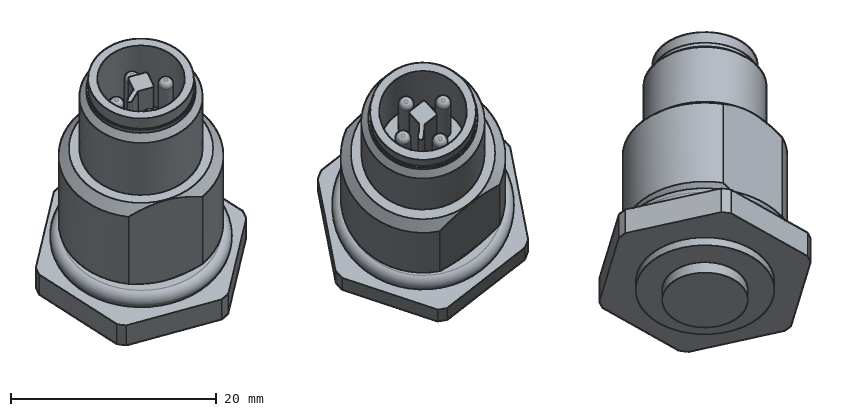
import cadquery as cq
import math

boss_top = 1.3
flange_top = 2.3
hex_top = 5.3
collar_bottom = 7.3
collar_top = 19.3
step_bottom = 27.75
lip_bottom = 28.2
total_height = 29.7

boss_radius = 4.15
flange_radius = 6.75
collar_radius = 8.02
collar_chamfer = 1.0
barrel_radius = 6.0
step_radius = 5.32
lip_radius = 5.15
barrel_chamfer = barrel_radius - step_radius

hex_across_flats = 19.0
hex_sides = 6
hex_corner_diameter = 21.4
collar_across_flats = 14.1

neck_radius = collar_radius - collar_chamfer
ring_outer_radius = 8.85

socket_radius = 4.25
socket_depth = 8.9
socket_floor = total_height - socket_depth
key_top = 29.17
key_side = 2.02
key_corner_radius = 0.2
key_arm_width = 0.5
key_arm_reach = 2.82
key_arm_angle = -45.0

pin_count = 4
pin_circle_radius = 2.55
pin_radius = 0.75
pin_tip_radius = 0.18
leading_pin_top = 28.5
leading_pin_extra = 1.0
pin_top = leading_pin_top - leading_pin_extra
leading_pin_index = 1


def cylinder(radius, bottom, top):
    return cq.Workplane("XY").workplane(offset=bottom).circle(radius).extrude(top - bottom)


def make_hexagon():
    """Hexagon with two sides facing +X and -X and its corners turned down to a circle."""
    height = hex_top - flange_top
    half_side_angle = 180 / hex_sides
    hexagon = (
        cq.Workplane("XY")
        .workplane(offset=flange_top)
        .polygon(hex_sides, hex_across_flats / math.cos(math.pi / hex_sides))
        .extrude(height)
        .rotate((0, 0, 0), (0, 0, 1), half_side_angle)
    )
    return hexagon.intersect(cylinder(hex_corner_diameter / 2, flange_top, hex_top))


def make_collar():
    """Collar chamfered at both ends, with two wrench flats facing +X and -X."""
    collar = cylinder(collar_radius, collar_bottom, collar_top).edges().chamfer(collar_chamfer)
    flats = (
        cq.Workplane("XY")
        .workplane(offset=collar_bottom)
        .rect(collar_across_flats, 2 * collar_radius)
        .extrude(collar_top - collar_bottom)
    )
    return collar.intersect(flats)


def make_barrel():
    """Upper barrel with its chamfered shoulder, the narrow step and the end lip."""
    barrel = cylinder(barrel_radius, collar_top, step_bottom).faces(">Z").chamfer(barrel_chamfer)
    step = cylinder(step_radius, step_bottom, lip_bottom)
    lip = cylinder(lip_radius, lip_bottom, total_height)
    return barrel.union(step).union(lip)


def make_key():
    """Square coding post with a round-ended arm pointing diagonally outward."""
    height = key_top - socket_floor
    floor = cq.Workplane("XY").workplane(offset=socket_floor)
    post = floor.rect(key_side, key_side).extrude(height).edges("|Z").fillet(key_corner_radius)
    arm = (
        floor.center(key_arm_reach / 2, 0)
        .slot2D(key_arm_reach, key_arm_width)
        .extrude(height)
        .rotate((0, 0, 0), (0, 0, 1), key_arm_angle)
    )
    return post.union(arm)


def make_housing():
    body = (
        cylinder(boss_radius, 0, boss_top)
        .union(cylinder(flange_radius, boss_top, flange_top))
        .union(make_hexagon())
        .union(cylinder(neck_radius, hex_top, collar_bottom))
        .union(make_collar())
        .union(make_barrel())
    )
    socket = cylinder(socket_radius, socket_floor, total_height)
    return body.cut(socket).union(make_key())


def make_sealing_ring():
    """Ring around the neck, flat above and below, with a half-round outer edge."""
    round_radius = (collar_bottom - hex_top) / 2
    round_center = ring_outer_radius - round_radius
    middle = hex_top + round_radius
    diagonal = round_radius * math.sqrt(0.5)
    return (
        cq.Workplane("XZ")
        .moveTo(neck_radius, hex_top)
        .lineTo(round_center, hex_top)
        .threePointArc((round_center + diagonal, middle - diagonal), (ring_outer_radius, middle))
        .threePointArc((round_center + diagonal, middle + diagonal), (round_center, collar_bottom))
        .lineTo(neck_radius, collar_bottom)
        .close()
        .revolve(360, (0, 0, 0), (0, 1, 0))
    )


def make_pin(angle, top):
    """Dome-ended pin standing on the socket floor, placed by its angle about the axis."""
    x = pin_circle_radius * math.cos(math.radians(angle))
    y = pin_circle_radius * math.sin(math.radians(angle))
    pin = cylinder(pin_radius, socket_floor, top)
    pin = pin.faces(">Z").edges().fillet(pin_radius - pin_tip_radius)
    return pin.translate((x, y, 0))


housing = make_housing()
sealing_ring = make_sealing_ring()
pins = []
for index in range(pin_count):
    tip_height = leading_pin_top if index == leading_pin_index else pin_top
    pins.append(make_pin(index * 360 / pin_count, tip_height))

result = cq.Compound.makeCompound([
    housing.val(),
    sealing_ring.val(),
    *[pin.val() for pin in pins],
])